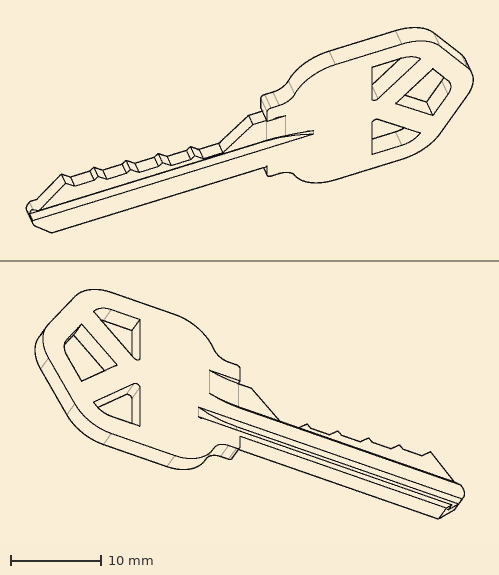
import cadquery as cq
import math

length = 52.3
thickness = 2.0
bow_height = 21.75

tip_y = -length / 2
bow_end_y = length / 2
face_x = thickness / 2

bow_radius = 5.25
hexagon_half_turn = math.radians(30)
shoulder_arc_y = 9.8
collar_height = 12.85
collar_blend_radius = 2.0
collar_corner_radius = 0.45
collar_y = 1.7

rim_width = 2.65
window_y = 14.15
strut_width = 2.9
strut_fork_y = 16.95
window_corner_radius = 0.4

blade_bottom_z = -4.4
blade_top_z = 4.15
tip_center_z = -1.2
tip_slope = math.radians(49)
tip_radius = 1.55

cut_count = 5
cut_pitch = 3.8
cut_flat = 2.3
first_cut_y = -4.65
first_cut_z = 0.6
cut_step = 0.6

cutter_radius = 15.7
run_out_angle = 25.0
cutter_clearance = 0.25
warding_x = -0.5
warding_slope = math.radians(36)
warding_bottom_z = 0.6
lower_groove_x = -0.1
lower_groove_top_z = -2.15
lower_groove_bottom_z = -3.6
relief_x = 0.85
back_groove_x = 0
back_roof_outer_z = 0.35
back_roof_inner_z = -0.3
back_groove_bottom_z = -0.95


def plate(outline):
    """Full-thickness plate from a closed outline in the YZ plane."""
    return outline.close().extrude(thickness)


def yz_plane():
    """Sketch plane on the -X face."""
    return cq.Workplane("YZ", origin=(-face_x, 0, 0))


def rounded_end(inset, square_end_y):
    """Half hexagon with rounded corners, shrunk by inset and closed by a straight side."""
    half_height = bow_height / 2 - inset
    vertex_y = bow_end_y - bow_radius + (bow_radius - inset) / math.cos(hexagon_half_turn)
    corner_y = vertex_y - half_height * math.tan(hexagon_half_turn)
    outline = (
        yz_plane()
        .moveTo(square_end_y, half_height)
        .lineTo(corner_y, half_height)
        .lineTo(vertex_y, 0)
        .lineTo(corner_y, -half_height)
        .lineTo(square_end_y, -half_height)
    )
    middle_y = (corner_y + square_end_y) / 2
    past_middle = cq.selectors.BoxSelector(
        (-thickness, middle_y, -bow_height), (thickness, bow_end_y + bow_radius, bow_height)
    )
    return plate(outline).edges("|X").edges(past_middle).fillet(bow_radius - inset)


def bow_shoulders():
    """Round shoulders that sweep in to the collar, symmetric about Z = 0."""
    half_height = bow_height / 2
    half_collar = collar_height / 2
    arc_center_z = half_height - bow_radius
    blend_center_z = half_collar + collar_blend_radius
    center_distance = bow_radius + collar_blend_radius
    center_angle = math.asin((blend_center_z - arc_center_z) / center_distance)
    blend_center_y = shoulder_arc_y - center_distance * math.cos(center_angle)
    meet_y = shoulder_arc_y - bow_radius * math.cos(center_angle)
    meet_z = arc_center_z + bow_radius * math.sin(center_angle)

    arc_middle = (math.pi / 2 + center_angle) / 2
    arc_middle_y = shoulder_arc_y - bow_radius * math.cos(arc_middle)
    arc_middle_z = arc_center_z + bow_radius * math.sin(arc_middle)
    blend_middle_y = blend_center_y + collar_blend_radius * math.cos(arc_middle)
    blend_middle_z = blend_center_z - collar_blend_radius * math.sin(arc_middle)

    half = plate(
        yz_plane()
        .moveTo(window_y, 0)
        .lineTo(window_y, half_height)
        .lineTo(shoulder_arc_y, half_height)
        .threePointArc((arc_middle_y, arc_middle_z), (meet_y, meet_z))
        .threePointArc((blend_middle_y, blend_middle_z), (blend_center_y, half_collar))
        .lineTo(collar_y, half_collar)
        .lineTo(collar_y, 0)
    )
    half = half.edges("|X").edges("<Y").edges(">Z").fillet(collar_corner_radius)
    return half.union(half.mirror("XY"))


def bow_windows():
    """Two side windows and an end window, left open between the struts and the rim."""
    opening = rounded_end(rim_width, window_y)
    reach = bow_height
    strut_outer_y = strut_fork_y - strut_width * math.sqrt(2)
    end_wedge = plate(
        yz_plane()
        .moveTo(strut_fork_y, 0)
        .lineTo(strut_fork_y + reach, reach)
        .lineTo(strut_fork_y + reach, -reach)
    )
    side_wedge = plate(
        yz_plane()
        .moveTo(window_y, window_y - strut_outer_y)
        .lineTo(window_y, reach)
        .lineTo(strut_outer_y + reach, reach)
    )
    side_wedge = side_wedge.edges("|X").edges("<Z").fillet(window_corner_radius)
    side_window = opening.intersect(side_wedge)
    return opening.intersect(end_wedge).union(side_window).union(side_window.mirror("XY"))


def blade():
    """Blade with the bitting along its upper edge and a rounded, pointed tip."""
    tip_vertex_y = tip_y - tip_radius * (1 / math.sin(tip_slope) - 1)
    tip_gradient = math.tan(tip_slope)
    tip_bottom_y = tip_vertex_y + (tip_center_z - blade_bottom_z) / tip_gradient
    root_y = first_cut_y + cut_flat / 2 + blade_top_z - first_cut_z

    overlap_y = collar_y + collar_corner_radius
    outline = (
        yz_plane()
        .moveTo(overlap_y, blade_bottom_z)
        .lineTo(overlap_y, blade_top_z)
        .lineTo(root_y, blade_top_z)
    )
    peak_width = cut_pitch - cut_flat
    for cut in range(cut_count):
        cut_z = first_cut_z + cut * cut_step
        cut_start_y = first_cut_y - cut * cut_pitch + cut_flat / 2
        cut_end_y = cut_start_y - cut_flat
        outline = outline.lineTo(cut_start_y, cut_z).lineTo(cut_end_y, cut_z)
        if cut < cut_count - 1:
            rise = (peak_width + cut_step) / 2
        else:
            tip_face_z = tip_center_z + tip_gradient * (cut_end_y - tip_vertex_y)
            rise = (tip_face_z - cut_z) / (1 + tip_gradient)
        outline = outline.lineTo(cut_end_y - rise, cut_z + rise)

    outline = (
        outline
        .lineTo(tip_vertex_y, tip_center_z)
        .lineTo(tip_bottom_y, blade_bottom_z)
    )
    return plate(outline).edges("|X").edges("<Y").fillet(tip_radius)


def groove(profile, floor_x, side):
    """Groove along the blade that curves out of the face as it enters the bow.

    The profile is a list of (x, z) points and side is -1 or 1 for the -X or +X face.
    """
    section = cq.Sketch().polygon([*profile, profile[0]])
    section_plane = cq.Workplane("XZ", origin=(0, collar_y, 0)).placeSketch(section)
    straight = section_plane.extrude(length)
    axis_x = floor_x + side * cutter_radius
    run_out = section_plane.revolve(run_out_angle, (axis_x, 0), (axis_x, -side))
    return straight.union(run_out)


def warding_grooves():
    """Cutting bodies for the two grooves in the -X face and the two in the +X face."""
    outer_x = face_x + cutter_clearance
    warding_drop = (outer_x + warding_x) / math.tan(warding_slope)
    warding = [
        (warding_x, blade_top_z),
        (warding_x, warding_bottom_z),
        (-outer_x, warding_bottom_z - warding_drop),
        (-outer_x, blade_top_z),
    ]
    lower_groove = [
        (lower_groove_x, lower_groove_top_z),
        (lower_groove_x, lower_groove_bottom_z),
        (-outer_x, lower_groove_bottom_z),
        (-outer_x, lower_groove_top_z),
    ]
    relief = [
        (relief_x, blade_top_z),
        (relief_x, back_roof_outer_z),
        (outer_x, back_roof_outer_z),
        (outer_x, blade_top_z),
    ]
    back_groove = [
        (relief_x, back_roof_outer_z),
        (back_groove_x, back_roof_inner_z),
        (back_groove_x, back_groove_bottom_z),
        (outer_x, back_groove_bottom_z),
        (outer_x, back_roof_outer_z),
    ]
    return [
        groove(warding, warding_x, -1),
        groove(lower_groove, lower_groove_x, -1),
        groove(relief, relief_x, 1),
        groove(back_groove, back_groove_x, 1),
    ]


result = rounded_end(0, window_y).union(bow_shoulders()).union(blade())
result = result.cut(bow_windows())
for cutter in warding_grooves():
    result = result.cut(cutter)
result = result.clean()